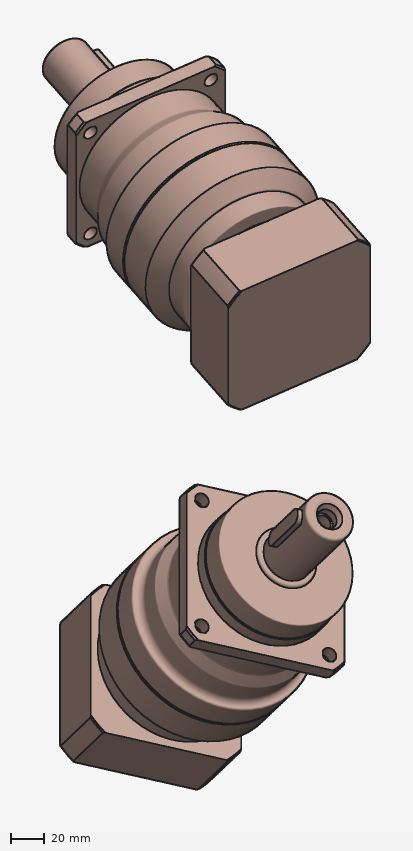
import cadquery as cq
import math


shaft_radius = 16.0
shaft_end_round = 1.7
key_width = 10.0
key_length = 40.0
key_start = 5.0
key_top = 19.0
key_bottom = 12.0

mouth_radius = 10.5
mouth_depth = 0.5
centre_cone_radius = 8.5
centre_cone_end = 4.0
counterbore_radius = 6.5
counterbore_depth = 9.5
tap_radius = 5.0
tap_depth = 36.0
drill_half_angle = 60

collar_start = 58.0
collar_radius = 20.0
collar_round = 1.85
pilot_start = 60.0
pilot_radius = 44.5
pilot_round = 0.8
pilot_step_start = 78.0
pilot_step_radius = 45.0
pilot_step_run = 0.8

flange_start = 88.0
flange_thickness = 10.0
flange_side = 105.0
flange_corner_radius = 70.0
flange_corner_chamfer = 1.0
bolt_circle_radius = 60.0
bolt_hole_diameter = 9.0

neck_radius = 50.0
taper_start = 118.3
taper_angle = 30
taper_foot_round = 3.0
taper_top_round = 1.9
shoulder_radius = 55.0
drum_start = 145.0
drum_radius = 61.0
drum_edge_round = 1.3
drum_foot_round = 4.5
joint_x = 165.5
joint_depth = 0.8
drum_taper_start = 190.3
drum_taper_end = 199.3
drum_taper_end_radius = 51.5
adapter_start = 200.0
adapter_radius = 50.5
adapter_end = 214.8
adapter_round = 0.8

link_radius = 40.0
block_start = 224.1
block_end = 266.5
block_side = 100.0
block_corner_radius = 65.0
block_corner_chamfer = 0.8


def revolve_profile(points):
    """Solid of revolution about the X axis from (x, radius) points that start and end on the axis."""
    return cq.Workplane("XZ").polyline(points).close().revolve(360, (0, 0, 0), (1, 0, 0))


def disc(x_start, x_end, radius):
    return cq.Workplane("YZ", origin=(x_start, 0, 0)).circle(radius).extrude(x_end - x_start)


def turned_square(x_start, x_end, side, corner_radius, corner_chamfer):
    """Square plate whose corners are turned about the X axis, with both rims of the turning chamfered."""
    plate = cq.Workplane("YZ", origin=(x_start, 0, 0)).rect(side, side).extrude(x_end - x_start)
    turning = disc(x_start, x_end, corner_radius).edges().chamfer(corner_chamfer)
    return plate.intersect(turning)


def round_edge(body, x, radius, fillet_radius):
    """Fillet the circular edge that lies at the given x and radius."""
    tolerance = 0.003

    def is_wanted(edge):
        if edge.geomType() != "CIRCLE":
            return False
        same_x = math.isclose(edge.Center().x, x, abs_tol=tolerance)
        same_radius = math.isclose(edge.radius(), radius, abs_tol=tolerance)
        return same_x and same_radius

    return body.newObject(body.edges().filter(is_wanted).vals()).fillet(fillet_radius)


def make_body():
    taper_end = taper_start + (shoulder_radius - neck_radius) / math.tan(math.radians(taper_angle))
    body = revolve_profile([
        (0, 0),
        (0, shaft_radius),
        (collar_start, shaft_radius),
        (collar_start, collar_radius),
        (pilot_start, collar_radius),
        (pilot_start, pilot_radius),
        (pilot_step_start, pilot_radius),
        (pilot_step_start + pilot_step_run, pilot_step_radius),
        (flange_start, pilot_step_radius),
        (flange_start, neck_radius),
        (taper_start, neck_radius),
        (taper_end, shoulder_radius),
        (drum_start, shoulder_radius),
        (drum_start, drum_radius),
        (joint_x - joint_depth, drum_radius),
        (joint_x, drum_radius - joint_depth),
        (joint_x + joint_depth, drum_radius),
        (drum_taper_start, drum_radius),
        (drum_taper_end, drum_taper_end_radius),
        (adapter_start, adapter_radius),
        (adapter_end, adapter_radius),
        (adapter_end, link_radius),
        (block_start, link_radius),
        (block_start, 0),
    ])
    rounded_edges = [
        (0, shaft_radius, shaft_end_round),
        (collar_start, collar_radius, collar_round),
        (pilot_start, pilot_radius, pilot_round),
        (taper_start, neck_radius, taper_foot_round),
        (taper_end, shoulder_radius, taper_top_round),
        (drum_start, shoulder_radius, drum_foot_round),
        (drum_start, drum_radius, drum_edge_round),
        (adapter_end, adapter_radius, adapter_round),
    ]
    for x, radius, fillet_radius in rounded_edges:
        body = round_edge(body, x, radius, fillet_radius)
    return body


def make_flange():
    flange = turned_square(
        flange_start,
        flange_start + flange_thickness,
        flange_side,
        flange_corner_radius,
        flange_corner_chamfer,
    )
    holes = (
        cq.Workplane("YZ", origin=(flange_start, 0, 0))
        .polarArray(bolt_circle_radius, 45, 360, 4)
        .circle(bolt_hole_diameter / 2)
        .extrude(flange_thickness)
    )
    return flange.cut(holes)


def make_key():
    return (
        cq.Workplane("XZ", origin=(key_start + key_length / 2, key_top, 0))
        .slot2D(key_length, key_width)
        .extrude(key_top - key_bottom)
    )


def make_centre_hole():
    drill_point = tap_radius / math.tan(math.radians(drill_half_angle))
    return revolve_profile([
        (0, 0),
        (0, mouth_radius),
        (mouth_depth, centre_cone_radius),
        (centre_cone_end, counterbore_radius),
        (counterbore_depth, counterbore_radius),
        (counterbore_depth, tap_radius),
        (tap_depth, tap_radius),
        (tap_depth + drill_point, 0),
    ])


def make_motor_block():
    return turned_square(
        block_start,
        block_end,
        block_side,
        block_corner_radius,
        block_corner_chamfer,
    )


result = make_body()
for added_part in (make_flange(), make_motor_block(), make_key()):
    result = result.union(added_part)
result = result.cut(make_centre_hole())